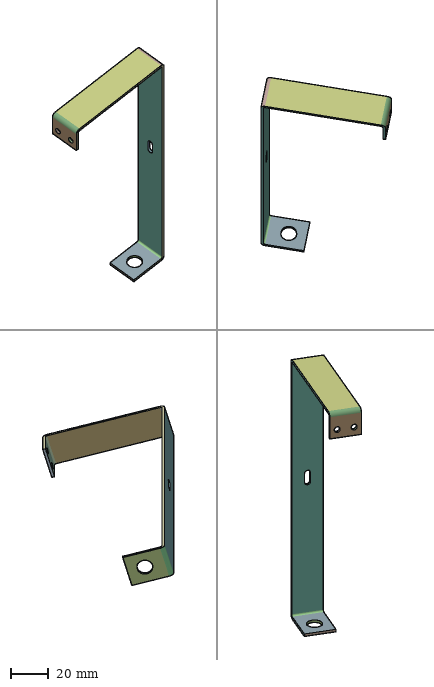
import cadquery as cq

width = 17.5
depth = 67.0
height = 154.2
thickness = 1.5
outer_bend_radius = 2.5
inner_bend_radius = outer_bend_radius - thickness
foot_length = 23.1
lip_height = 15.3

lip_hole_diameter = 3.2
lip_hole_spacing = 9.4
lip_hole_drop = 10.3
slot_width = 3.2
slot_length = 8.5
slot_center_height = 82.5
foot_hole_diameter = 8.3
foot_hole_offset = 13.4

web_inner = depth - thickness
arm_underside = height - thickness
foot_end = depth - foot_length
lip_end = height - lip_height


def bent_strip():
    """Extrude the sharp-cornered strip profile and round its three bends."""
    profile = [
        (foot_end, 0),
        (depth, 0),
        (depth, height),
        (0, height),
        (0, lip_end),
        (thickness, lip_end),
        (thickness, arm_underside),
        (web_inner, arm_underside),
        (web_inner, thickness),
        (foot_end, thickness),
    ]
    outer_corners = [(depth, 0), (depth, height), (0, height)]
    inner_corners = [
        (web_inner, thickness),
        (web_inner, arm_underside),
        (thickness, arm_underside),
    ]
    strip = cq.Workplane("YZ").polyline(profile).close().extrude(width / 2, both=True)
    strip = round_corners(strip, outer_corners, outer_bend_radius)
    return round_corners(strip, inner_corners, inner_bend_radius)


def round_corners(strip, corners, radius):
    """Fillet the edges along X that pass through the given (Y, Z) corners."""
    selected = []
    for y, z in corners:
        nearest = cq.selectors.NearestToPointSelector((0, y, z))
        selected.extend(strip.edges(nearest).vals())
    return strip.newObject(selected).fillet(radius)


def lip_holes():
    """Two cutters through the lip, side by side."""
    return (
        cq.Workplane("XZ", origin=(0, thickness, height - lip_hole_drop))
        .rarray(lip_hole_spacing, 1.5, 2, 1)
        .circle(lip_hole_diameter / 2)
        .extrude(thickness)
    )


def web_slot():
    """Upright slot cutter through the web."""
    return (
        cq.Workplane("XZ", origin=(0, depth, slot_center_height))
        .slot2D(slot_length, slot_width, 90)
        .extrude(thickness)
    )


def foot_hole():
    """Round cutter through the foot."""
    return (
        cq.Workplane("XY", origin=(0, depth - foot_hole_offset, 0))
        .circle(foot_hole_diameter / 2)
        .extrude(thickness)
    )


result = bent_strip().cut(lip_holes()).cut(web_slot()).cut(foot_hole())